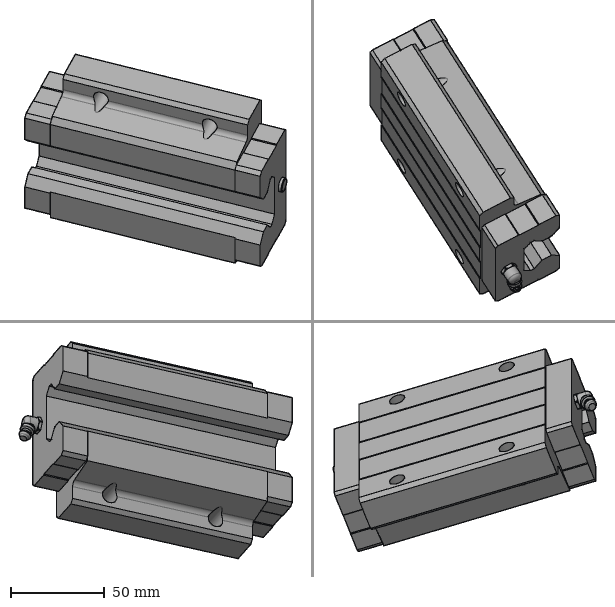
import cadquery as cq
import math


block_length = 105.2
cap_length = 14.5
block_end = block_length / 2
cap_end = block_end + cap_length

flange_height = 100.0
flange_half_height = flange_height / 2
flange_depth = 21.2
flange_chamfer = 2.2
block_depth = 40.5
skirt_root_z = 38.0
skirt_edge_depth = 37.7
skirt_edge_z = 35.2
skirt_chamfer_z = 31.7
skirt_fillet = 3.0

relief_inner_z = 8.8
relief_outer_z = 29.2
relief_depth = 0.5

cap_back_depth = 1.3
cap_front_depth = 41.0
cap_half_height = 33.9
cap_back_chamfer = 1.6
cap_front_chamfer_depth = 2.4
cap_front_chamfer_z = 1.8
cap_groove_start = 15.6
cap_groove_end = 28.3
cap_groove_depth = 0.5

channel_floor_depth = 19.0
channel_floor_z = 13.1
undercut_z = 17.1
undercut_start = 23.0
undercut_end = 25.3
lip_z = 11.6
lip_start = 30.0
lip_end = 36.0
channel_mouth_z = 17.0

hole_diameter = 8.4
hole_spacing_x = 61.9
hole_spacing_z = 82.1

port_depth = 9.3
plug_diameter = 8.0
plug_length = 2.0
plug_chamfer = 0.5
hex_across_flats = 8.1
hex_length = 1.8
hex_corner_diameter = 9.0
elbow_diameter = 8.0
elbow_length = 9.1
elbow_fillet = 2.5
nozzle_axis_x = -71.9
nozzle_tilt = 22.5
collar_diameter = 7.8
collar_top_diameter = 6.8
neck_diameter = 5.5
head_diameter = 6.6
head_band_diameter = 5.3
tip_diameter = 4.0
collar_top = 2.4
collar_widest_start = 3.5
collar_widest_end = 5.3
collar_bottom = 5.9
neck_end = 7.2
head_widest_start = 7.7
head_widest_end = 8.5
head_band = 9.9
tip_end = 10.9


def extrude_section(points, start_x, end_x):
    """Extrude an outline of (depth, z) points from start_x to end_x."""
    outline = [(-depth, z) for depth, z in points]
    return cq.Workplane("YZ", origin=(start_x, 0, 0)).polyline(outline).close().extrude(end_x - start_x)


def box_between(x_range, depth_range, z_range):
    """Box spanning the given ranges of x, depth and z."""
    size_x = x_range[1] - x_range[0]
    size_y = depth_range[1] - depth_range[0]
    size_z = z_range[1] - z_range[0]
    corner = cq.Vector(x_range[0], -depth_range[1], z_range[0])
    return cq.Workplane(cq.Solid.makeBox(size_x, size_y, size_z, corner))


def make_block():
    skirt_slope = (skirt_edge_z - skirt_root_z) / (skirt_edge_depth - flange_depth)
    sharp_corner_z = skirt_edge_z + skirt_slope * (block_depth - skirt_edge_depth)
    upper_skirt = [(block_depth, skirt_chamfer_z), (skirt_edge_depth, skirt_edge_z)]
    upper_flange = [
        (flange_depth, skirt_root_z),
        (flange_depth, flange_half_height - flange_chamfer),
        (flange_depth - flange_chamfer, flange_half_height),
        (flange_chamfer, flange_half_height),
        (0, flange_half_height - flange_chamfer),
    ]
    lower_flange = [(depth, -z) for depth, z in reversed(upper_flange)]
    section = upper_skirt + upper_flange + lower_flange + [(block_depth, -sharp_corner_z)]
    block = extrude_section(section, -block_end, block_end)

    for side in (1, -1):
        root = (0, -flange_depth, side * skirt_root_z)
        block = block.edges(cq.NearestToPointSelector(root)).fillet(skirt_fillet)

    for z_range in ((relief_inner_z, relief_outer_z), (-relief_outer_z, -relief_inner_z)):
        block = block.cut(box_between((-block_end, block_end), (0, relief_depth), z_range))
    return block


def make_cap(start_x):
    upper_half = [
        (cap_back_depth, cap_half_height - cap_back_chamfer),
        (cap_back_depth + cap_back_chamfer, cap_half_height),
        (cap_groove_start, cap_half_height),
        (cap_groove_start + cap_groove_depth, cap_half_height - cap_groove_depth),
        (cap_groove_end - cap_groove_depth, cap_half_height - cap_groove_depth),
        (cap_groove_end, cap_half_height),
        (cap_front_depth - cap_front_chamfer_depth, cap_half_height),
        (cap_front_depth, cap_half_height - cap_front_chamfer_z),
    ]
    lower_half = [(depth, -z) for depth, z in reversed(upper_half)]
    return extrude_section(upper_half + lower_half, start_x, start_x + cap_length)


def make_channel():
    upper_half = [
        (channel_floor_depth, channel_floor_z),
        (undercut_start, undercut_z),
        (undercut_end, undercut_z),
        (lip_start, lip_z),
        (lip_end, lip_z),
        (cap_front_depth, channel_mouth_z),
    ]
    lower_half = [(depth, -z) for depth, z in reversed(upper_half)]
    return extrude_section(upper_half + lower_half, -cap_end, cap_end)


def make_mounting_holes():
    return (
        cq.Workplane("XZ")
        .rarray(hole_spacing_x, hole_spacing_z, 2, 2)
        .circle(hole_diameter / 2)
        .extrude(block_depth)
    )


def make_plug():
    port = cq.Workplane("YZ", origin=(cap_end, -port_depth, 0))
    plug = port.circle(plug_diameter / 2).extrude(plug_length)
    return plug.faces(">X").chamfer(plug_chamfer)


def make_nozzle():
    """Barbed nozzle turned about the Z axis, then tilted towards -X and moved to the elbow."""
    profile = [
        (0, 0),
        (collar_top_diameter / 2, 0),
        (collar_top_diameter / 2, -collar_top),
        (collar_diameter / 2, -collar_widest_start),
        (collar_diameter / 2, -collar_widest_end),
        (neck_diameter / 2, -collar_bottom),
        (neck_diameter / 2, -neck_end),
        (head_diameter / 2, -head_widest_start),
        (head_diameter / 2, -head_widest_end),
        (head_band_diameter / 2, -head_band),
        (tip_diameter / 2, -tip_end),
        (0, -tip_end),
    ]
    nozzle = cq.Workplane("XZ").polyline(profile).close().revolve(360, (0, 0, 0), (0, 1, 0))
    return nozzle.rotate((0, 0, 0), (0, 1, 0), nozzle_tilt).translate((nozzle_axis_x, -port_depth, 0))


def make_grease_nipple():
    port = cq.Workplane("YZ", origin=(-cap_end, -port_depth, 0))
    across_corners = hex_across_flats / math.cos(math.radians(30))
    hexagon = port.polygon(6, across_corners).extrude(-hex_length)
    corner_chamfer = (hex_corner_diameter - hex_across_flats) / 2
    turned_disc = port.circle(hex_corner_diameter / 2).extrude(-hex_length)
    turned_disc = turned_disc.faces("<X").chamfer(corner_chamfer)
    hexagon = hexagon.intersect(turned_disc)
    elbow = port.circle(elbow_diameter / 2).extrude(-elbow_length)
    elbow = elbow.faces("<X").edges().fillet(elbow_fillet)
    return hexagon.union(elbow).union(make_nozzle())


carriage = make_block().union(make_cap(-cap_end)).union(make_cap(block_end))
carriage = carriage.cut(make_channel()).cut(make_mounting_holes())
result = carriage.union(make_plug()).union(make_grease_nipple())